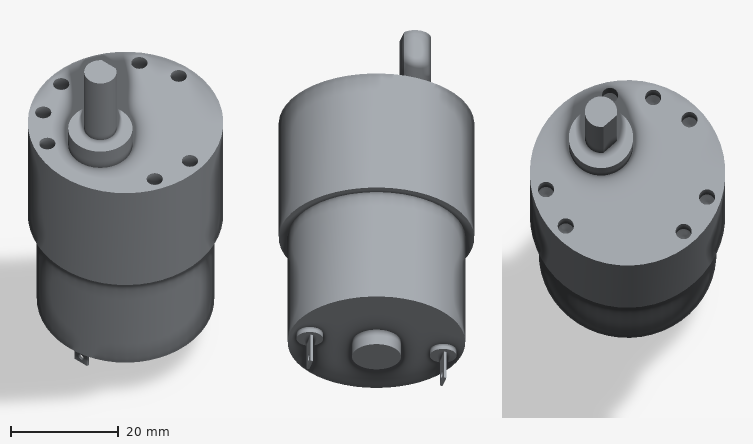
import cadquery as cq
import math


gearbox_diameter = 36.32
gearbox_length = 24.7
motor_diameter = 33.0
motor_length = 22.6
motor_end_z = -(gearbox_length + motor_length)

output_offset = 7.35
boss_diameter = 11.95
boss_height = 4.35
shaft_diameter = 6.0
shaft_length = 15.2
shaft_flat_distance = 2.5

hole_diameter = 3.0
hole_circle_radius = 15.5
hole_depth = 3.0
drill_point_angle = 118.0
hole_angles = (0, 90, 120, 180, 210, 240, 330)

bearing_diameter = 9.1
bearing_height = 3.15

overall_length = 73.58
terminal_offset = 12.75
insulator_diameter = 4.95
insulator_height = 1.1
tab_width = 3.0
tab_thickness = 0.5
tab_length = overall_length - shaft_length - boss_height - gearbox_length - motor_length
eyelet_diameter = 1.2
eyelet_end_distance = 1.5


def cylinder(diameter, length, base_z, y=0.0):
    """Upright cylinder rising from base_z (or descending for a negative length)."""
    return cq.Workplane("XY", origin=(0, y, base_z)).circle(diameter / 2).extrude(length)


def make_housing():
    gearbox = cylinder(gearbox_diameter, -gearbox_length, 0)
    motor = cylinder(motor_diameter, -motor_length, -gearbox_length)
    bearing = cylinder(bearing_diameter, -bearing_height, motor_end_z)
    return gearbox.union(motor).union(bearing)


def make_output():
    """Output boss and shaft, with the flat facing +Y along the whole exposed shaft."""
    boss = cylinder(boss_diameter, boss_height, 0, -output_offset)
    shaft = cylinder(shaft_diameter, shaft_length, boss_height, -output_offset)
    flat_cut = (
        cq.Workplane("XY", origin=(0, shaft_flat_distance - output_offset, boss_height))
        .rect(shaft_diameter, shaft_diameter)
        .extrude(shaft_length)
        .translate((0, shaft_diameter / 2, 0))
    )
    return boss.union(shaft.cut(flat_cut))


def make_hole_cutters():
    """Drill shapes for all mounting holes, each ending in a cone."""
    radius = hole_diameter / 2
    point_depth = radius / math.tan(math.radians(drill_point_angle / 2))
    drill = (
        cq.Workplane("XZ")
        .moveTo(0, 0)
        .lineTo(radius, 0)
        .lineTo(radius, -hole_depth)
        .lineTo(0, -hole_depth - point_depth)
        .close()
        .revolve(360, (0, 0, 0), (0, 1, 0))
    )
    cutters = []
    for angle in hole_angles:
        outer_drill = drill.translate((hole_circle_radius, 0, 0))
        cutters.append(outer_drill.rotate((0, 0, 0), (0, 0, 1), angle))
    return cutters


def make_terminal(y):
    insulator = cylinder(insulator_diameter, -insulator_height, motor_end_z, y)
    tab = (
        cq.Workplane("XY", origin=(0, y, motor_end_z))
        .rect(tab_width, tab_thickness)
        .extrude(-tab_length)
    )
    eyelet_z = motor_end_z - tab_length + eyelet_end_distance
    eyelet = (
        cq.Workplane("XZ", origin=(0, y, eyelet_z))
        .circle(eyelet_diameter / 2)
        .extrude(tab_thickness, both=True)
    )
    return insulator.union(tab.cut(eyelet))


result = make_housing().union(make_output())
for terminal_y in (-terminal_offset, terminal_offset):
    result = result.union(make_terminal(terminal_y))
for cutter in make_hole_cutters():
    result = result.cut(cutter)